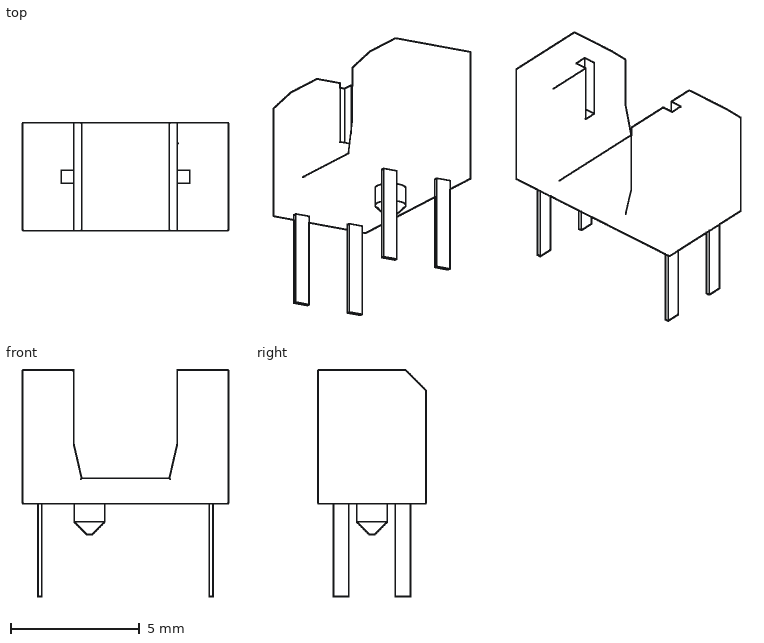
import cadquery as cq

BODY_LENGTH = 8.0
BODY_DEPTH = 4.2
BODY_HEIGHT = 5.2
EDGE_RADIUS = 0.05
BACK_CHAMFER = 0.8

GAP_WIDTH = 4.0
GAP_FLOOR_WIDTH = 3.4
GAP_FLOOR_Z = 1.0
GAP_TAPER_TOP_Z = 2.3

GROOVE_WIDTH = 0.5
GROOVE_DEPTH = 0.5
GROOVE_LENGTH = 2.4

PEG_X = -1.4
PEG_RADIUS = 0.6
PEG_LENGTH = 1.2
PEG_TIP_RADIUS = 0.1
PEG_TIP_HEIGHT = PEG_RADIUS - PEG_TIP_RADIUS

LEAD_THICKNESS = 0.15
LEAD_WIDTH = 0.6
LEAD_LENGTH = 3.6
LEAD_SPACING_X = 6.65
LEAD_SPACING_Y = 2.4


def make_housing():
    half_length = BODY_LENGTH / 2
    half_gap = GAP_WIDTH / 2
    half_floor = GAP_FLOOR_WIDTH / 2
    block = (
        cq.Workplane("XZ")
        .moveTo(-half_length, 0)
        .lineTo(half_length, 0)
        .lineTo(half_length, BODY_HEIGHT)
        .lineTo(half_gap, BODY_HEIGHT)
        .lineTo(half_gap, GAP_TAPER_TOP_Z)
        .lineTo(half_floor, GAP_FLOOR_Z)
        .lineTo(-half_floor, GAP_FLOOR_Z)
        .lineTo(-half_gap, GAP_TAPER_TOP_Z)
        .lineTo(-half_gap, BODY_HEIGHT)
        .lineTo(-half_length, BODY_HEIGHT)
        .close()
        .extrude(BODY_DEPTH / 2, both=True)
    )
    block = block.faces(">Z").edges(">Y").chamfer(BACK_CHAMFER)

    groove_cutter = (
        cq.Workplane("XY", origin=(0, 0, BODY_HEIGHT))
        .rect(GAP_WIDTH + 2 * GROOVE_DEPTH, GROOVE_WIDTH)
        .extrude(-GROOVE_LENGTH)
    )
    block = block.cut(groove_cutter)

    every_edge = cq.selectors.BoxSelector(
        (-BODY_LENGTH, -BODY_DEPTH, -BODY_HEIGHT),
        (BODY_LENGTH, BODY_DEPTH, 2 * BODY_HEIGHT),
    )
    groove_end_x = half_gap + GROOVE_DEPTH + EDGE_RADIUS
    groove_side_y = GROOVE_WIDTH / 2 + EDGE_RADIUS
    creases_and_grooves = cq.selectors.BoxSelector(
        (-groove_end_x, -groove_side_y, GAP_FLOOR_Z - EDGE_RADIUS),
        (groove_end_x, groove_side_y, BODY_HEIGHT + EDGE_RADIUS),
    )
    sharp_left = cq.selectors.BoxSelector(
        (-half_gap - EDGE_RADIUS, -BODY_DEPTH / 2 + EDGE_RADIUS, BODY_HEIGHT - EDGE_RADIUS),
        (-half_gap + EDGE_RADIUS, -groove_side_y, BODY_HEIGHT + EDGE_RADIUS),
    )
    sharp_right = cq.selectors.BoxSelector(
        (half_gap - EDGE_RADIUS, groove_side_y, BODY_HEIGHT - EDGE_RADIUS),
        (half_gap + EDGE_RADIUS, BODY_DEPTH / 2 - BACK_CHAMFER - EDGE_RADIUS, BODY_HEIGHT + EDGE_RADIUS),
    )
    rounded_edges = every_edge - creases_and_grooves - sharp_left - sharp_right
    return block.edges(rounded_edges).fillet(EDGE_RADIUS)


def make_peg():
    shank_end_z = -(PEG_LENGTH - PEG_TIP_HEIGHT)
    return (
        cq.Workplane("XZ")
        .lineTo(PEG_RADIUS, 0)
        .lineTo(PEG_RADIUS, shank_end_z)
        .lineTo(PEG_TIP_RADIUS, -PEG_LENGTH)
        .lineTo(0, -PEG_LENGTH)
        .close()
        .revolve(360, (0, 0), (0, 1))
        .translate((PEG_X, 0, 0))
    )


def make_lead(x, y):
    return (
        cq.Workplane("XY")
        .center(x, y)
        .rect(LEAD_THICKNESS, LEAD_WIDTH)
        .extrude(-LEAD_LENGTH)
    )


housing = make_housing()
peg = make_peg()
leads = [
    make_lead(side_x * LEAD_SPACING_X / 2, side_y * LEAD_SPACING_Y / 2)
    for side_x in (-1, 1)
    for side_y in (-1, 1)
]

result = cq.Compound.makeCompound([housing.val(), peg.val(), *[lead.val() for lead in leads]])